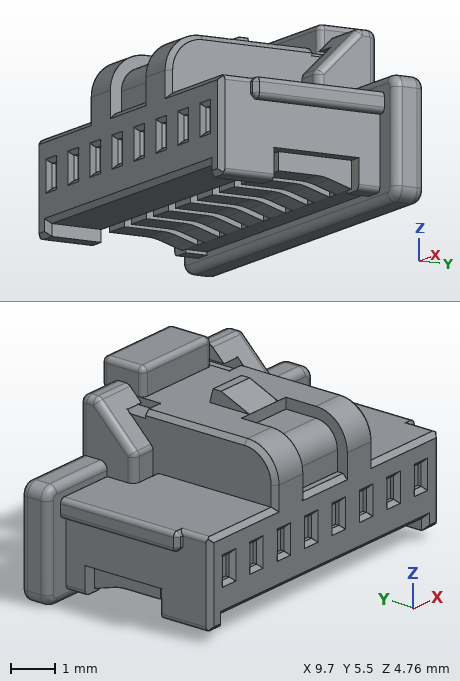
import cadquery as cq

flange_width = 9.7
flange_height = 2.95
flange_front = 4.19
flange_back = 4.99
flange_corner = 0.32
flange_round = 0.2

body_width = 8.36
body_bottom = 0.27
body_top = 2.59
body_round = 0.13
front_bevel = 0.13

hood_width = 3.61
hood_top = 4.04
hood_radius = 0.91
hood_recess_width = 1.62
hood_recess_depth = 0.29
hood_recess_back = 1.78
ledge_front = 3.78
ledge_height = 3.84

catch_width = 1.04
catch_top = 4.39
catch_crest_front = 2.61
catch_crest_back = 2.84
catch_back = 2.94

pad_width = 2.5
pad_front = 4.29
pad_back = 5.5
pad_top = 4.76
pad_lip = 4.02
pad_slope = 0.45
pad_round = 0.15

arm_outer = 2.69
arm_inner = 2.01
arm_hook_inner = 1.5
arm_top = 4.41
arm_front = 3.4
arm_shoulder = 3.3
arm_round = 0.18
arm_slot_floor = 2.5

rail_span = 8.77
rail_height = 0.5
rail_front = 0.8
rail_bevel = 0.12

recess_width = 7.35
recess_top = 0.57
opening_front = 1.42
opening_back = 3.64
opening_top = 1.02
rib_front = 1.73
rib_slope_front = 2.9
rib_low = 0.35
rib_bend = 1.26
rib_gap = 0.31

contact_count = 8
contact_pitch = 1.0
window_width = 0.485
window_height = 0.8
window_middle = 1.67
window_bevel = 0.11
window_depth = 0.2


def block(x0, x1, y0, y1, z0, z1):
    """Box between two opposite corners."""
    return cq.Workplane("XY").box(x1 - x0, y1 - y0, z1 - z0, centered=False).translate((x0, y0, z0))


def centred_block(width, y0, y1, z0, z1):
    """Box centred on X = 0."""
    return block(-width / 2, width / 2, y0, y1, z0, z1)


def side_profile(points, x0, x1):
    """Prism between x0 and x1 from an outline of (y, z) points."""
    return cq.Workplane("YZ").polyline(points).close().extrude(x1 - x0).translate((x0, 0, 0))


def mirrored(solid):
    """A solid together with its mirror image across X = 0."""
    return solid.union(solid.mirror("YZ"))


def one_per_contact(solid):
    """Copies of a solid along X, one at each contact."""
    row = cq.Workplane("XY")
    for index in range(contact_count):
        x = (index - (contact_count - 1) / 2) * contact_pitch
        row = row.add(solid.translate((x, 0, 0)))
    return row.combine()


def make_flange():
    """Rear plate with round corners and softened front and back rims."""
    flange = centred_block(flange_width, flange_front, flange_back, 0, flange_height)
    flange = flange.edges("|Y").fillet(flange_corner)
    return flange.faces("<Y or >Y").edges().fillet(flange_round)


def make_body():
    """Body with hood and front legs, rounded along Y and bevelled around the front face."""
    body = centred_block(body_width, 0, flange_back, body_bottom, body_top)
    body = body.faces("<Y").edges().chamfer(front_bevel)
    body = body.edges("|Y").fillet(body_round)
    hood = centred_block(hood_width, 0, flange_back, recess_top, hood_top)
    hood = hood.edges("<Y and >Z").fillet(hood_radius)
    hood = hood.faces("<X or >X").edges("not(<Z or >Y)").chamfer(front_bevel)
    return body.union(hood).cut(make_front_recess())


def make_front_recess():
    """Recess between the front legs, with a flared mouth."""
    mouth_width = recess_width + 2 * front_bevel
    mouth = (
        cq.Workplane("XZ").rect(mouth_width, 2 * (recess_top + front_bevel))
        .workplane(offset=-front_bevel).rect(recess_width, 2 * recess_top)
        .loft(ruled=True)
    )
    return mouth.union(centred_block(recess_width, 0, opening_front, -recess_top, recess_top))


def make_hood_recess():
    """Channel that follows the hood's curve at a constant depth, open to the front."""
    floor_height = hood_top - hood_recess_depth
    sunk = centred_block(hood_recess_width, hood_recess_depth, flange_back, body_top, floor_height)
    sunk = sunk.edges("<Y and >Z").fillet(hood_radius - hood_recess_depth)
    channel = centred_block(hood_recess_width, 0, hood_recess_back, body_top, hood_top)
    sill = [(0, body_top), (0, body_top - front_bevel), (front_bevel, body_top)]
    return channel.cut(sunk).union(side_profile(sill, -hood_recess_width / 2, hood_recess_width / 2))


def make_ledges():
    """Steps cut beside the rear of the hood, down to the ledge."""
    return mirrored(block(pad_width / 2, hood_width / 2, ledge_front, flange_back, ledge_height, hood_top))


def make_catch():
    """Wedge that ramps up from the hood recess and drops steeply at the rear."""
    outline = [
        (hood_recess_back, hood_top),
        (catch_crest_front, catch_top),
        (catch_crest_back, catch_top),
        (catch_back, hood_top),
    ]
    return side_profile(outline, -catch_width / 2, catch_width / 2)


def make_pad():
    """Push pad with an underside that slopes down toward the hood."""
    root = pad_lip - pad_slope * (pad_back - pad_front)
    outline = [(pad_front, root), (pad_front, pad_top), (pad_back, pad_top), (pad_back, pad_lip)]
    pad = side_profile(outline, -pad_width / 2, pad_width / 2)
    return pad.edges().fillet(pad_round)


def make_arm():
    """Guard arm: sloped leg with a hook that reaches inward above the hood."""
    slope_run = arm_top - arm_shoulder
    outline = [
        (arm_front, arm_slot_floor),
        (arm_front, arm_shoulder),
        (arm_front + slope_run, arm_top),
        (flange_back, arm_top),
        (flange_back, arm_slot_floor),
    ]
    arm = side_profile(outline, arm_hook_inner, arm_outer)
    arm = arm.faces(">Z").edges(">Y").fillet(flange_round)
    arm = arm.faces(">Z").edges("<Y").fillet(arm_round)
    arm = arm.faces("<Y").edges(">Z").fillet(arm_round)
    arm = arm.faces(">X").edges("not <Z").fillet(arm_round)
    return arm.cut(block(arm_hook_inner, arm_inner, arm_front, flange_back, 0, hood_top))


def make_arm_slot():
    """Gap between arm and hood, running out through the back."""
    return block(hood_width / 2, arm_inner, arm_front, flange_back, arm_slot_floor, hood_top)


def make_rail():
    """One bar across the body whose ends stand out as a guide rail on each side."""
    rail = centred_block(rail_span, rail_front, flange_back - flange_round, body_top - rail_height, body_top)
    rail = rail.edges("|Y").fillet(body_round)
    return rail.faces("<Y").edges().chamfer(rail_bevel)


def make_ribs():
    """Row of ribs under the body, one per contact, each dropping to the rear."""
    outline = [
        (rib_front, opening_top),
        (rib_front, recess_top),
        (rib_slope_front, recess_top),
        (opening_back, rib_low),
        (opening_back, opening_top),
    ]
    rib_width = contact_pitch - rib_gap
    rib = side_profile(outline, -rib_width / 2, rib_width / 2)
    bend_edge = cq.selectors.NearestToPointSelector((0, rib_slope_front, recess_top))
    return one_per_contact(rib.edges(bend_edge).fillet(rib_bend))


def make_window():
    """Blind contact window with a bevelled mouth."""
    shaft_width = window_width - 2 * window_bevel
    shaft_height = window_height - 2 * window_bevel
    mouth = (
        cq.Workplane("XZ").rect(window_width, window_height)
        .workplane(offset=-window_bevel).rect(shaft_width, shaft_height)
        .loft(ruled=True)
    )
    shaft = cq.Workplane("XZ").rect(shaft_width, shaft_height)
    return mouth.union(shaft.extrude(-window_depth)).translate((0, 0, window_middle))


side_opening = centred_block(flange_width, opening_front, opening_back, 0, opening_top)
rear_clearance = centred_block(recess_width, opening_back, flange_front, 0, rib_low)
result = make_body().cut(make_hood_recess()).union(make_rail())
result = result.cut(side_opening).cut(rear_clearance)
result = result.union(make_ribs()).union(make_flange())

result = result.cut(make_ledges()).cut(mirrored(make_arm_slot()))
result = result.union(mirrored(make_arm())).union(make_pad()).union(make_catch())

result = result.cut(one_per_contact(make_window()))